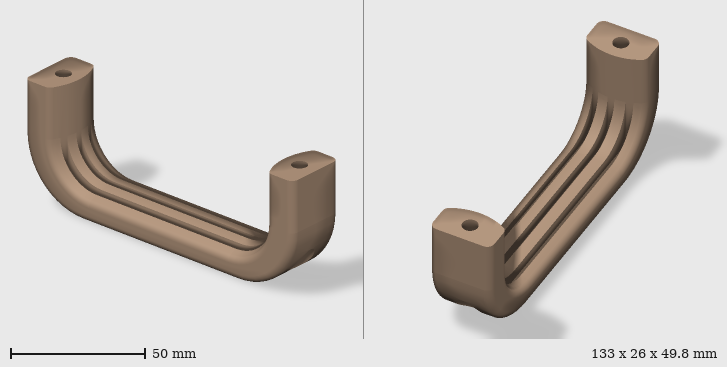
import cadquery as cq

LENGTH = 133.0
WIDTH = 26.0
HEIGHT = 49.76

LEG_THICKNESS = 15.75
BAR_THICKNESS = 12.0
OUTER_FILLET = 3.0
CROWN_RADIUS = 24.0
CROWN_FILLET = 3.0

OUTER_BEND_RADIUS = 28.0
INNER_BEND_RADIUS = 16.25

GROOVE_WIDTH = 2.9
GROOVE_PITCH = 7.2
GROOVE_COUNT = 3
GROOVE_DEPTH = 5.0

HOLE_SPACING = 117.0
HOLE_DIAMETER = 6.4
COUNTERBORE_DIAMETER = 11.0
COUNTERBORE_TOP_Z = -30.0

HALF_LENGTH = LENGTH / 2
LEG_INNER_X = HALF_LENGTH - LEG_THICKNESS
BAR_TOP_Z = BAR_THICKNESS - HEIGHT
BEND_CENTRE_X = LEG_INNER_X - INNER_BEND_RADIUS
BEND_CENTRE_Z = BAR_TOP_Z + INNER_BEND_RADIUS
STOCK_DEPTH = 2 * LEG_THICKNESS


def outer_block():
    """Solid block with the handle's outside shape, rounded at the bends and long edges."""
    block = cq.Workplane("XY").box(LENGTH, WIDTH, HEIGHT, centered=(True, True, False))
    block = block.translate((0, 0, -HEIGHT))
    block = block.edges("|Y and <Z").fillet(OUTER_BEND_RADIUS)
    return block.faces("<Z").edges("|X").fillet(OUTER_FILLET)


def crowned_section(plane):
    """Section whose crown peaks at the plane's origin, facing the plane's local +X."""
    half_width = WIDTH / 2
    fillet_centre_y = half_width - CROWN_FILLET
    centre_distance = CROWN_RADIUS - CROWN_FILLET
    fillet_centre_x = (centre_distance**2 - fillet_centre_y**2) ** 0.5 - CROWN_RADIUS
    radius_ratio = CROWN_RADIUS / centre_distance
    tangent_x = (fillet_centre_x + CROWN_RADIUS) * radius_ratio - CROWN_RADIUS
    tangent_y = fillet_centre_y * radius_ratio
    return (
        cq.Workplane(plane)
        .moveTo(-STOCK_DEPTH, -half_width)
        .lineTo(fillet_centre_x, -half_width)
        .radiusArc((tangent_x, -tangent_y), -CROWN_FILLET)
        .threePointArc((0, 0), (tangent_x, tangent_y))
        .radiusArc((fillet_centre_x, half_width), -CROWN_FILLET)
        .lineTo(-STOCK_DEPTH, half_width)
        .close()
    )


def left_leg(bottom_z):
    """Crowned leg at -X, from the mounting plane down to bottom_z."""
    section = crowned_section(cq.Plane(origin=(-LEG_INNER_X, 0, 0)))
    return section.extrude(bottom_z)


def bar():
    """Crowned straight bar joining the two bends."""
    bar_plane = cq.Plane(origin=(-BEND_CENTRE_X, 0, BAR_TOP_Z), xDir=(0, 0, 1), normal=(1, 0, 0))
    return crowned_section(bar_plane).extrude(2 * BEND_CENTRE_X)


def left_bend():
    """Quarter turn of the crowned section from the -X leg into the bar."""
    section = crowned_section(cq.Plane(origin=(-LEG_INNER_X, 0, BEND_CENTRE_Z)))
    return section.revolve(90, (INNER_BEND_RADIUS, 0), (INNER_BEND_RADIUS, -1))


def both_sides(left_solid):
    """The given solid together with its mirror image across the YZ plane."""
    return left_solid.union(left_solid.mirror("YZ"))


def grooves():
    """Flat-floored grooves that stop against the legs' crowned faces."""
    floor_z = BAR_TOP_Z - GROOVE_DEPTH
    cutter = (
        cq.Workplane("XY", origin=(0, 0, floor_z))
        .rarray(1, GROOVE_PITCH, 1, GROOVE_COUNT)
        .rect(LENGTH, GROOVE_WIDTH)
        .extrude(-floor_z)
    )
    return cutter.cut(both_sides(left_leg(-HEIGHT)))


def screw_holes():
    """Through holes in the legs with counterbores opening into the outer bends."""
    centres = [(-HOLE_SPACING / 2, 0), (HOLE_SPACING / 2, 0)]
    base = cq.Workplane("XY", origin=(0, 0, -HEIGHT)).pushPoints(centres)
    holes = base.circle(HOLE_DIAMETER / 2).extrude(HEIGHT)
    counterbores = base.circle(COUNTERBORE_DIAMETER / 2).extrude(HEIGHT + COUNTERBORE_TOP_Z)
    return holes.union(counterbores)


handle = both_sides(left_leg(BEND_CENTRE_Z).union(left_bend())).union(bar())
result = handle.intersect(outer_block()).cut(grooves()).cut(screw_holes())